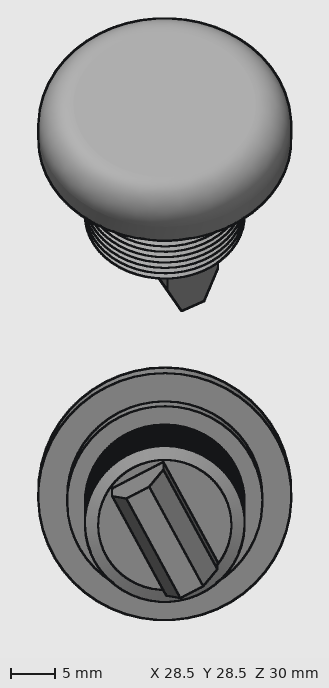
import cadquery as cq

total_height = 30.0

head_diameter = 28.5
head_height = 6.5
head_round_radius = 4.0

collar_diameter = 22.0
collar_height = 2.5
thread_crest_diameter = 18.0
thread_root_diameter = 15.0
thread_length = 12.0
thread_count = 12
thread_pitch = thread_length / thread_count

blade_width = 13.0
blade_thickness = 6.5
blade_tip_thickness = 2.9
blade_taper_height = 5.0

head_bottom = total_height - head_height
collar_bottom = head_bottom - collar_height
thread_bottom = collar_bottom - thread_length


def make_head():
    """Disc with a large round on its top edge."""
    disc = cq.Workplane("XY").workplane(offset=head_bottom).circle(head_diameter / 2).extrude(head_height)
    return disc.faces(">Z").edges().fillet(head_round_radius)


def make_housing():
    """Collar and shank with V-shaped thread rings, revolved as one profile."""
    root_radius = thread_root_diameter / 2
    crest_radius = thread_crest_diameter / 2
    profile = cq.Workplane("XZ").moveTo(0, thread_bottom).lineTo(root_radius, thread_bottom)
    for ring in range(thread_count):
        ring_bottom = thread_bottom + ring * thread_pitch
        profile = profile.lineTo(crest_radius, ring_bottom + thread_pitch / 2)
        profile = profile.lineTo(root_radius, ring_bottom + thread_pitch)
    profile = (
        profile.lineTo(collar_diameter / 2, collar_bottom)
        .lineTo(collar_diameter / 2, head_bottom)
        .lineTo(0, head_bottom)
        .close()
    )
    return profile.revolve(360, (0, 0, 0), (0, 1, 0))


def make_blade():
    """Flat bar across X, narrowing in Y towards its tip."""
    return (
        cq.Workplane("YZ")
        .moveTo(-blade_tip_thickness / 2, 0)
        .lineTo(blade_tip_thickness / 2, 0)
        .lineTo(blade_thickness / 2, blade_taper_height)
        .lineTo(blade_thickness / 2, thread_bottom)
        .lineTo(-blade_thickness / 2, thread_bottom)
        .lineTo(-blade_thickness / 2, blade_taper_height)
        .close()
        .extrude(blade_width / 2, both=True)
    )


head = make_head()
housing = make_housing()
blade = make_blade()

result = cq.Compound.makeCompound([head.val(), housing.val(), blade.val()])